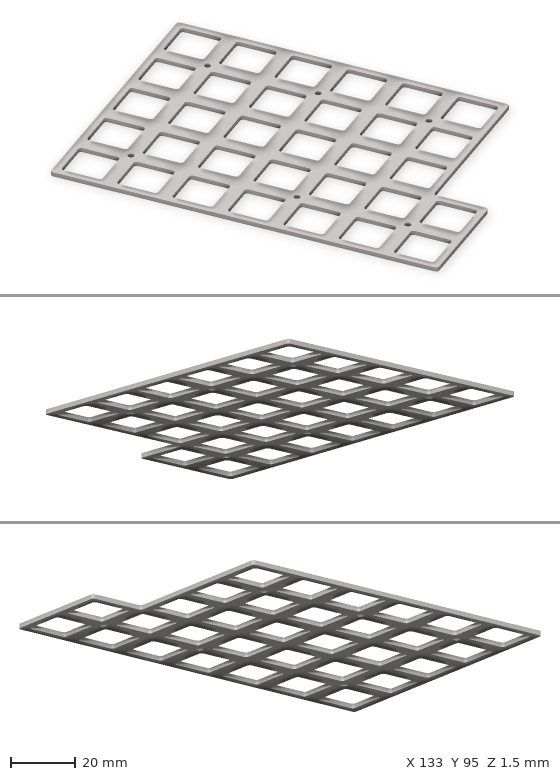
import cadquery as cq

key_pitch = 19.0
thickness = 1.5
switch_opening = 14.0
opening_corner_radius = 1.0
outline_corner_radius = 1.0
screw_diameter = 2.2

keys_per_column = [5, 5, 5, 5, 5, 5, 2]

screw_grid_points = [(1, 1), (4, 1), (6, 1), (1, 4), (3, 4), (5, 4)]

columns = len(keys_per_column)
rows = max(keys_per_column)
full_columns = keys_per_column.count(rows)
short_rows = min(keys_per_column)
half_cell = 0.5


def grid_point(column, row):
    """Position on the key grid, with the plate's bounding rectangle centred on the origin."""
    return ((column - columns / 2) * key_pitch, (row - rows / 2) * key_pitch)


def plate_blank():
    """L-shaped plate with every corner rounded, the inner one included."""
    outline = [
        grid_point(0, 0),
        grid_point(columns, 0),
        grid_point(columns, short_rows),
        grid_point(full_columns, short_rows),
        grid_point(full_columns, rows),
        grid_point(0, rows),
    ]
    return (
        cq.Workplane("XY")
        .polyline(outline)
        .close()
        .extrude(thickness)
        .edges("|Z")
        .fillet(outline_corner_radius)
    )


def switch_cutters():
    """One rounded square block through the plate at the centre of every key cell."""
    centres = [
        grid_point(column + half_cell, row + half_cell)
        for column, key_count in enumerate(keys_per_column)
        for row in range(key_count)
    ]
    return (
        cq.Workplane("XY")
        .pushPoints(centres)
        .rect(switch_opening, switch_opening)
        .extrude(thickness)
        .edges("|Z")
        .fillet(opening_corner_radius)
    )


def screw_cutters():
    """Round through holes at the chosen grid crossings."""
    centres = [grid_point(column, row) for column, row in screw_grid_points]
    return cq.Workplane("XY").pushPoints(centres).circle(screw_diameter / 2).extrude(thickness)


result = plate_blank().cut(switch_cutters()).cut(screw_cutters())